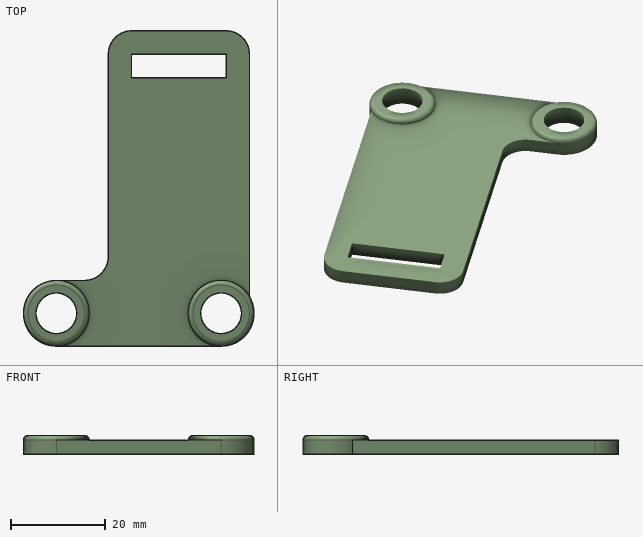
import cadquery as cq

total_length = 67.0
plate_thickness = 3.0
boss_height = 4.0

boss_diameter = 14.0
boss_radius = boss_diameter / 2
boss_spacing = 35.0
boss_edge_round = 1.0
hole_diameter = 8.6

arm_left = 11.0
arm_width = 30.0
corner_radius = 5.0
arm_right = arm_left + arm_width
arm_center = arm_left + arm_width / 2
arm_top = total_length - boss_radius

slot_length = 20.0
slot_width = 4.95
slot_margin = 5.0
slot_center_y = arm_top - slot_margin - slot_width / 2

boss_centers = [(0, 0), (boss_spacing, 0)]


def make_plate():
    """L-shaped plate; its foot ends are completed by the round bosses."""
    profile = (
        cq.Workplane("XY")
        .moveTo(0, -boss_radius)
        .lineTo(boss_spacing, -boss_radius)
        .lineTo(boss_spacing, 0)
        .lineTo(arm_right, 0)
        .lineTo(arm_right, arm_top - corner_radius)
        .radiusArc((arm_right - corner_radius, arm_top), -corner_radius)
        .lineTo(arm_left + corner_radius, arm_top)
        .radiusArc((arm_left, arm_top - corner_radius), -corner_radius)
        .lineTo(arm_left, boss_radius + corner_radius)
        .radiusArc((arm_left - corner_radius, boss_radius), corner_radius)
        .lineTo(0, boss_radius)
        .close()
    )
    return profile.extrude(plate_thickness)


def make_boss(center):
    """Full-height round boss with a rounded upper rim."""
    boss = cq.Workplane("XY").center(*center).circle(boss_radius).extrude(boss_height)
    return boss.faces(">Z").edges().fillet(boss_edge_round)


result = make_plate()
for boss_center in boss_centers:
    result = result.union(make_boss(boss_center))

holes = cq.Workplane("XY").pushPoints(boss_centers).circle(hole_diameter / 2).extrude(boss_height)
result = result.cut(holes)

slot = (
    cq.Workplane("XY")
    .center(arm_center, slot_center_y)
    .rect(slot_length, slot_width)
    .extrude(plate_thickness)
)
result = result.cut(slot)